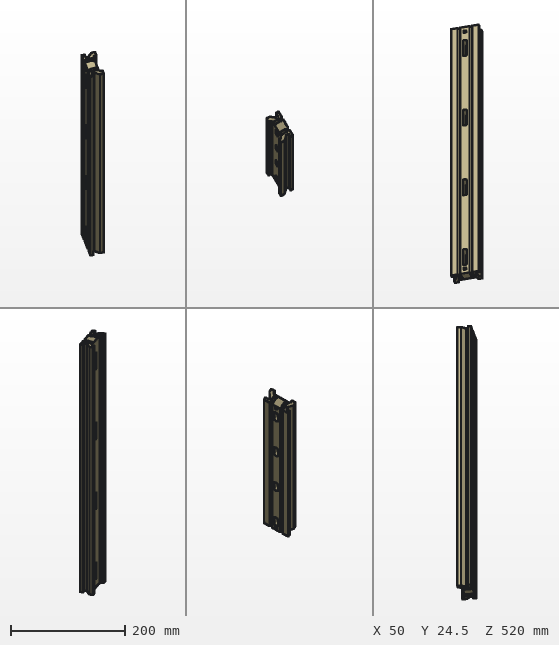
import cadquery as cq

length = 520.0
width = 50.0
depth = 24.5

flange_thickness = 5.0
waist_half_width = 18.0
undercut_start = 10.0
undercut_end = 17.5
lip_inner_half_width = 17.5
lip_slope_top = 21.0
channel_half_width = 15.0
channel_floor = 18.0

cavity_offset = 11.0
cavity_width = 5.0
cavity_back = 16.0
groove_depth = 1.8

slot_count = 4
slot_pitch = 147.0
slot_length = 34.0
slot_width = 7.5
first_slot_z = 34.5
hole_diameter = 4.5
hole_end_distance = 10.0
hole_depth = 5.0

half_width = width / 2
front = -depth / 2


def make_half_profile():
    """Right half of the rail section: flange, waist, sloped undercut and back lip."""
    return (
        cq.Workplane("XY", origin=(0, front, 0))
        .lineTo(half_width, 0)
        .lineTo(half_width, flange_thickness)
        .lineTo(waist_half_width, flange_thickness)
        .lineTo(waist_half_width, undercut_start)
        .lineTo(half_width, undercut_end)
        .lineTo(half_width, depth)
        .lineTo(lip_inner_half_width, depth)
        .lineTo(lip_inner_half_width, lip_slope_top)
        .lineTo(channel_half_width, channel_floor)
        .lineTo(0, channel_floor)
        .close()
        .extrude(length)
    )


def long_cut(x, y_start, y_end):
    """Full-length rectangular cutter between two distances from the front face."""
    cutter = cq.Workplane("XY").box(cavity_width, y_end - y_start, length, centered=(True, False, False))
    return cutter.translate((x, front + y_start, 0))


half_rail = make_half_profile()
rail = half_rail.union(half_rail.mirror("YZ")).clean()
for x in (-cavity_offset, cavity_offset):
    rail = rail.cut(long_cut(x, flange_thickness, cavity_back))
    rail = rail.cut(long_cut(x, 0, groove_depth))

slot_points = [(0, first_slot_z + i * slot_pitch) for i in range(slot_count)]
front_plane = cq.Workplane("XZ", origin=(0, front, 0))
slots = front_plane.pushPoints(slot_points).slot2D(slot_length, slot_width, 90).extrude(-depth)

hole_points = [(0, hole_end_distance), (0, length - hole_end_distance)]
holes = front_plane.pushPoints(hole_points).circle(hole_diameter / 2).extrude(-hole_depth)

result = rail.cut(slots).cut(holes)